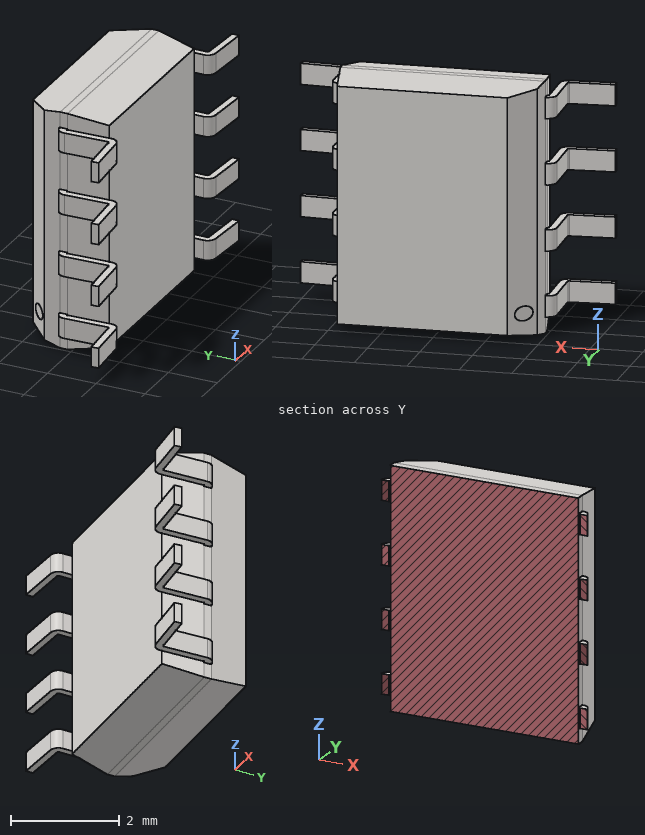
import cadquery as cq
import math

package_width = 3.9
package_length = 4.85
standoff = 0.35
half_height = 0.8
band_height = 0.15
draft_angle = 10
band_bottom = standoff + half_height
band_top = band_bottom + band_height
package_top = band_top + half_height
band_side = package_width / 2

bevel_height = 0.455
bevel_foot_y = package_top - bevel_height
bevel_foot_x = -band_side + (bevel_foot_y - band_top) * math.tan(math.radians(draft_angle))
bevel_top_x = bevel_foot_x + bevel_height

lead_span = 6.0
lead_thickness = band_height
lead_width = 0.41
lead_pitch = 1.27
leads_per_side = 4
inner_bend_radius = 0.025
shoulder_reach = 0.185
outer_bend_radius = inner_bend_radius + lead_thickness
leg_tilt = math.radians(1.3)
foot_tilt = math.radians(4)
first_lead_z = -lead_pitch * (leads_per_side - 1) / 2

marker_diameter = 0.28
marker_y = package_top - 0.25
marker_z = first_lead_z


def make_moulding():
    """Package body with its bevel, before the marker recess is cut."""
    band = (
        cq.Workplane("ZX", origin=(0, band_bottom, 0))
        .rect(package_length, package_width)
        .extrude(band_height)
    )
    upper_half = (
        cq.Workplane("ZX", origin=(0, band_top, 0))
        .rect(package_length, package_width)
        .extrude(half_height, taper=draft_angle)
    )
    lower_half = (
        cq.Workplane("XZ", origin=(0, band_bottom, 0))
        .rect(package_width, package_length)
        .extrude(half_height, taper=draft_angle)
    )
    overrun = bevel_height
    wedge = (
        cq.Workplane("XY")
        .moveTo(bevel_foot_x - overrun, bevel_foot_y - overrun)
        .lineTo(bevel_top_x + overrun, package_top + overrun)
        .lineTo(bevel_foot_x - overrun, package_top + overrun)
        .close()
        .extrude(package_length / 2, both=True)
    )
    return band.union(upper_half).union(lower_half).cut(wedge)


def make_marker_cylinder():
    """Cylinder along X from outside the package to below the bevel's upper edge."""
    return (
        cq.Workplane("YZ", origin=(-band_side, 0, 0))
        .center(marker_y, marker_z)
        .circle(marker_diameter / 2)
        .extrude(bevel_top_x + band_side)
    )


def mitre_offset(direction_in, direction_out):
    """Offset from a centreline corner to the corner half a thickness to its left."""
    normal_in = cq.Vector(-direction_in.y, direction_in.x)
    normal_out = cq.Vector(-direction_out.y, direction_out.x)
    return (normal_in + normal_out) * (lead_thickness / 2 / (1 + normal_in.dot(normal_out)))


def make_lead():
    """One +X side lead centred on Z = 0, butting against the parting band."""
    shoulder_direction = cq.Vector(1, 0)
    leg_direction = cq.Vector(-math.sin(leg_tilt), -math.cos(leg_tilt))
    foot_direction = cq.Vector(math.cos(foot_tilt), -math.sin(foot_tilt))

    half_thickness = lead_thickness / 2
    root = cq.Vector(band_side, band_bottom + half_thickness)
    shoulder = root + shoulder_direction * (shoulder_reach - half_thickness)
    tip = cq.Vector(
        lead_span / 2 - half_thickness * math.sin(foot_tilt),
        half_thickness * math.cos(foot_tilt),
    )
    foot_rise_at_shoulder = (tip.x - shoulder.x) * math.tan(foot_tilt)
    leg_drop = (shoulder.y - tip.y - foot_rise_at_shoulder) / (
        1 + math.tan(leg_tilt) * math.tan(foot_tilt)
    )
    heel = shoulder + leg_direction * (leg_drop / math.cos(leg_tilt))

    root_offset = mitre_offset(shoulder_direction, shoulder_direction)
    shoulder_offset = mitre_offset(shoulder_direction, leg_direction)
    heel_offset = mitre_offset(leg_direction, foot_direction)
    tip_offset = mitre_offset(foot_direction, foot_direction)

    outline = [
        root + root_offset,
        shoulder + shoulder_offset,
        heel + heel_offset,
        tip + tip_offset,
        tip - tip_offset,
        heel - heel_offset,
        shoulder - shoulder_offset,
        root - root_offset,
    ]
    strip = (
        cq.Workplane("XY")
        .polyline([(point.x, point.y) for point in outline])
        .close()
        .extrude(lead_width / 2, both=True)
    )
    bends = [
        (shoulder + shoulder_offset, outer_bend_radius),
        (shoulder - shoulder_offset, inner_bend_radius),
        (heel + heel_offset, inner_bend_radius),
        (heel - heel_offset, outer_bend_radius),
    ]
    for corner, radius in bends:
        corner_edge = cq.selectors.NearestToPointSelector(corner.toTuple())
        strip = strip.edges("|Z").edges(corner_edge).fillet(radius)
    return strip


moulding = make_moulding()
marker_cylinder = make_marker_cylinder()
package = moulding.cut(marker_cylinder)
marker = moulding.intersect(marker_cylinder)

right_lead = make_lead()
left_lead = right_lead.mirror("YZ")
leads = []
for index in range(leads_per_side):
    lead_z = first_lead_z + index * lead_pitch
    for lead in (left_lead, right_lead):
        leads.append(lead.translate((0, 0, lead_z)).val())

result = cq.Compound.makeCompound([package.val(), marker.val(), *leads])